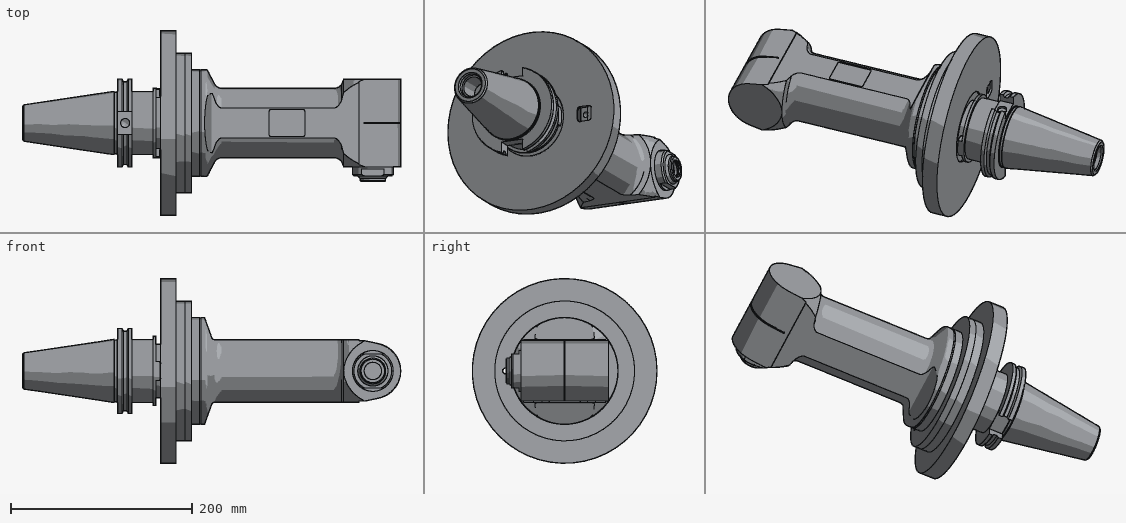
import cadquery as cq
import math

total_length = 417.5
taper_length = 100.5
flange_start = 105.0
flange_end = 120.5
collar_start = 144.0
collar_end = 147.0
tooth_end = 151.5
plate_start = 152.5
plate_end = 169.5
boss_end = 179.0
housing_disc_end = 186.5
groove_x = 195.5
shoulder_end = 203.8
body_end = 344.0
spindle_x = 386.5

taper_small_r = 20.25
taper_large_r = 35.0
taper_chamfer = 1.5
relief_r = 34.2
relief_run = 1.0
flange_r = 49.0
v_groove_r = 46.0
v_groove_centre = 113.0
v_groove_top_width = 7.0
v_groove_floor_width = 3.8
neck_r = 34.85
collar_r = 38.5
inner_neck_r = 29.5
tooth_width = 21.5
tooth_inner_y = 28.0
drive_slot_width = 26.0
upper_slot_floor = 37.5
lower_slot_floor = 35.5
screw_hole_d = 10.0
screw_hole_depth = 2.5
drill_tip_depth = 3.0
draw_bore_d = 22.0
draw_bore_depth = 33.5
draw_counterbore_d = 26.5
draw_counterbore_depth = 6.3
draw_bore_mouth_d = 29.2

plate_r = 204.0 / 2
boss_r = 77.3
recess_d = 80.0
recess_depth = 2.0
pocket_y = -65.5
pocket_size = 17.0
pocket_corner_r = 3.5
pocket_depth = 2.5
slot_y = -64.0
slot_width = 9.5
slot_depth = 5.0
stop_hole_y = -65.0
stop_hole_d = 6.3

shoulder_r = 118.0 / 2
shoulder_round = 3.0
groove_width = 1.5
groove_depth = 0.5
body_r = 38.5
cone_angle = math.radians(62.5)
cone_fillet = 8.8
flat_z = 34.5
flat_ramp_start = 201.0
flat_ramp_foot = 209.5
flat_fillet = 3.5
flare_fillet_end = (352.0, 42.5)
flare_fillet_mid = (348.5, 39.5)
flare_crown = [(354.5, 48.5), (360.5, 51.8), (365.5, 54.3), (370.5, 56.5), (378.0, 59.0)]
head_half_width = 48.5
head_step_x = 371.5
head_step_z = 33.5
head_slope_start = 378.0
head_nose_r = total_length - spindle_x
slit_start = 376.5
slit_width = 1.3
slit_depth = 1.0
label_x = 292.0
label_length = 39.3
label_width = 29.5
label_corner_r = 1.5
label_depth = 0.5

nut_r = 22.5
nut_length = 10.0
nut_chamfer = 1.5
wrench_flat_z = 19.0
wrench_flat_setback = 2.0
nose_base_r = 16.5
nose_tip_r = 14.0
nose_cone_length = 3.0
nose_length = 16.3
nose_tip_chamfer = 1.3
nose_bore_d = 19.2
nose_bore_depth = 7.5
nose_lip = 2.0
nose_undercut_d = 22.0
nose_undercut_width = 2.0


def revolve_x(profile):
    """Turn a closed (x, radius) profile about the main axis."""
    return profile.close().revolve(360, (0, 0), (1, 0))


def rod_x(radius, start, end):
    return cq.Workplane("YZ", origin=(start, 0, 0)).circle(radius).extrude(end - start)


def block(x_range, y_range, z_range):
    size = [end - start for start, end in (x_range, y_range, z_range)]
    corner = [x_range[0], y_range[0], z_range[0]]
    return cq.Workplane("XY", origin=corner).box(*size, centered=False)


def make_arbor():
    arbor_end = plate_start + recess_depth
    groove_top = v_groove_top_width / 2
    groove_floor = v_groove_floor_width / 2
    arbor = revolve_x(
        cq.Workplane("XY").polyline([
            (0, 0),
            (0, taper_small_r - taper_chamfer),
            (taper_chamfer, taper_small_r),
            (taper_length, taper_large_r),
            (taper_length + relief_run, relief_r),
            (flange_start - relief_run, relief_r),
            (flange_start, taper_large_r),
            (flange_start, flange_r),
            (v_groove_centre - groove_top, flange_r),
            (v_groove_centre - groove_floor, v_groove_r),
            (v_groove_centre + groove_floor, v_groove_r),
            (v_groove_centre + groove_top, flange_r),
            (flange_end, flange_r),
            (flange_end, neck_r),
            (collar_start, neck_r),
            (collar_start, collar_r),
            (collar_end, collar_r),
            (collar_end, inner_neck_r),
            (arbor_end, inner_neck_r),
            (arbor_end, 0),
        ])
    )

    teeth = rod_x(collar_r, collar_end, tooth_end)
    half_tooth = tooth_width / 2
    for y_range in ((tooth_inner_y, collar_r), (-collar_r, -tooth_inner_y)):
        tooth_box = block((collar_end, tooth_end), y_range, (-half_tooth, half_tooth))
        arbor = arbor.union(teeth.intersect(tooth_box))

    half_slot = drive_slot_width / 2
    for z_range in ((upper_slot_floor, flange_r), (-flange_r, -lower_slot_floor)):
        arbor = arbor.cut(block((flange_start, flange_end), (-half_slot, half_slot), z_range))

    hole_r = screw_hole_d / 2
    tip_z = upper_slot_floor - screw_hole_depth - drill_tip_depth
    drill = (
        cq.Workplane("XZ")
        .polyline([
            (0, tip_z),
            (hole_r, tip_z + drill_tip_depth),
            (hole_r, upper_slot_floor),
            (0, upper_slot_floor),
        ])
        .close()
        .revolve(360, (0, 0), (0, 1))
        .translate((v_groove_centre, 0, 0))
    )

    mouth_step = (draw_bore_mouth_d - draw_counterbore_d) / 2
    bore = revolve_x(
        cq.Workplane("XY").polyline([
            (0, 0),
            (0, draw_bore_mouth_d / 2),
            (mouth_step, draw_counterbore_d / 2),
            (draw_counterbore_depth, draw_counterbore_d / 2),
            (draw_counterbore_depth, draw_bore_d / 2),
            (draw_bore_depth, draw_bore_d / 2),
            (draw_bore_depth, 0),
        ])
    )
    return arbor.cut(drill).cut(bore)


def stop_hole(start, end):
    return rod_x(stop_hole_d / 2, start, end).translate((0, stop_hole_y, 0))


def make_plate():
    plate = rod_x(plate_r, plate_start, plate_end).union(rod_x(boss_r, plate_end, boss_end))
    plate = plate.cut(rod_x(recess_d / 2, plate_start, plate_start + recess_depth))
    pocket = (
        cq.Workplane("YZ", origin=(plate_start, pocket_y, 0))
        .rect(pocket_size, pocket_size)
        .extrude(pocket_depth)
        .edges("|X")
        .fillet(pocket_corner_r)
    )
    slot = (
        cq.Workplane("YZ", origin=(plate_start, slot_y, 0))
        .rect(slot_width, pocket_size)
        .extrude(slot_depth)
    )
    return plate.cut(pocket).cut(slot).cut(stop_hole(plate_start, boss_end))


def housing_turned_shape():
    """Disc, shoulder, cone, round body and flared head, all turned about X."""
    cone_foot = shoulder_end + (shoulder_r - body_r) / math.tan(cone_angle)
    profile = (
        cq.Workplane("XY")
        .moveTo(boss_end, 0)
        .lineTo(boss_end, boss_r)
        .lineTo(housing_disc_end, boss_r)
        .lineTo(housing_disc_end, shoulder_r)
        .lineTo(groove_x, shoulder_r)
        .lineTo(groove_x, shoulder_r - groove_depth)
        .lineTo(groove_x + groove_width, shoulder_r - groove_depth)
        .lineTo(groove_x + groove_width, shoulder_r)
    )
    half_turn = cone_angle / 2
    round_run = shoulder_round * math.tan(half_turn)
    fillet_run = cone_fillet * math.tan(half_turn)
    round_mid = (
        shoulder_end - round_run + shoulder_round * math.sin(half_turn),
        shoulder_r - shoulder_round * (1 - math.cos(half_turn)),
    )
    round_end = (
        shoulder_end + round_run * math.cos(cone_angle),
        shoulder_r - round_run * math.sin(cone_angle),
    )
    fillet_start = (
        cone_foot - fillet_run * math.cos(cone_angle),
        body_r + fillet_run * math.sin(cone_angle),
    )
    fillet_mid = (
        cone_foot + fillet_run - cone_fillet * math.sin(half_turn),
        body_r + cone_fillet * (1 - math.cos(half_turn)),
    )
    profile = (
        profile.lineTo(shoulder_end - round_run, shoulder_r)
        .threePointArc(round_mid, round_end)
        .lineTo(*fillet_start)
        .threePointArc(fillet_mid, (cone_foot + fillet_run, body_r))
        .lineTo(body_end, body_r)
        .threePointArc(flare_fillet_mid, flare_fillet_end)
    )
    for point in flare_crown:
        profile = profile.lineTo(*point)
    head_r = flare_crown[-1][1]
    return revolve_x(profile.lineTo(total_length, head_r).lineTo(total_length, 0))


def flat_side_outline():
    """Side outline that gives the body its two flats and the head its wedge-shaped nose."""
    ramp_slope = (shoulder_r - flat_z) / (flat_ramp_foot - flat_ramp_start)
    ramp_top_x = flat_ramp_start - (boss_r - shoulder_r) / ramp_slope
    ramp_angle = math.atan(ramp_slope)
    fillet_run = flat_fillet * math.tan(ramp_angle / 2)
    fillet_start = (
        flat_ramp_foot - fillet_run * math.cos(ramp_angle),
        flat_z + fillet_run * math.sin(ramp_angle),
    )
    fillet_mid = (
        flat_ramp_foot + fillet_run - flat_fillet * math.sin(ramp_angle / 2),
        flat_z + flat_fillet * (1 - math.cos(ramp_angle / 2)),
    )
    slope_dx = head_slope_start - spindle_x
    tangent_angle = math.atan2(head_step_z, slope_dx)
    tangent_angle -= math.acos(head_nose_r / math.hypot(slope_dx, head_step_z))
    tangent_point = (
        spindle_x + head_nose_r * math.cos(tangent_angle),
        head_nose_r * math.sin(tangent_angle),
    )
    upper_half = (
        cq.Workplane("XZ")
        .moveTo(boss_end, 0)
        .lineTo(boss_end, boss_r)
        .lineTo(ramp_top_x, boss_r)
        .lineTo(*fillet_start)
        .threePointArc(fillet_mid, (flat_ramp_foot + fillet_run, flat_z))
        .lineTo(head_step_x, flat_z)
        .lineTo(head_step_x, head_step_z)
        .lineTo(head_slope_start, head_step_z)
        .lineTo(*tangent_point)
        .radiusArc((total_length, 0), head_nose_r)
        .close()
        .extrude(boss_r, both=True)
    )
    return upper_half.union(upper_half.mirror("XY"))


def make_housing():
    housing = housing_turned_shape().intersect(flat_side_outline())

    for y_range in ((head_half_width, boss_r), (-boss_r, -head_half_width)):
        housing = housing.cut(block((body_end, total_length), y_range, (-boss_r, boss_r)))

    half_slit = slit_width / 2
    slit_core = (
        cq.Workplane("XZ")
        .circle(head_nose_r - slit_depth)
        .extrude(slit_width, both=True)
        .translate((spindle_x, 0, 0))
    )
    slit = block((slit_start, total_length), (-half_slit, half_slit), (-flat_z, flat_z)).cut(slit_core)
    housing = housing.cut(slit)

    label = (
        cq.Workplane("XY", origin=(label_x, 0, flat_z - label_depth))
        .rect(label_length, label_width)
        .extrude(label_depth)
        .edges("|Z")
        .fillet(label_corner_r)
    )
    return housing.cut(label).cut(stop_hole(boss_end, housing_disc_end))


def make_spindle_nose():
    """Nut and nose ring on the side of the head, pointing toward -Y."""
    profile = [
        (0, 0),
        (nut_r, 0),
        (nut_r, nut_length - nut_chamfer),
        (nut_r - nut_chamfer, nut_length),
        (nose_base_r, nut_length),
        (nose_tip_r, nut_length + nose_cone_length),
        (nose_tip_r, nose_length - nose_tip_chamfer),
        (nose_tip_r - nose_tip_chamfer, nose_length),
        (nose_bore_d / 2, nose_length),
        (nose_bore_d / 2, nose_length - nose_lip),
        (nose_undercut_d / 2, nose_length - nose_lip),
        (nose_undercut_d / 2, nose_length - nose_lip - nose_undercut_width),
        (nose_bore_d / 2, nose_length - nose_lip - nose_undercut_width),
        (nose_bore_d / 2, nose_length - nose_bore_depth),
        (0, nose_length - nose_bore_depth),
    ]
    nose = cq.Workplane("XY").polyline(profile).close().revolve(360, (0, 0), (0, 1))
    for z_range in ((wrench_flat_z, nut_r), (-nut_r, -wrench_flat_z)):
        nose = nose.cut(block((-nut_r, nut_r), (wrench_flat_setback, nut_length), z_range))
    return nose.mirror("XZ").translate((spindle_x, -head_half_width, 0))


arbor = make_arbor()
plate = make_plate()
housing = make_housing()
spindle_nose = make_spindle_nose()

result = cq.Compound.makeCompound([
    arbor.val(),
    plate.val(),
    housing.val(),
    spindle_nose.val(),
])